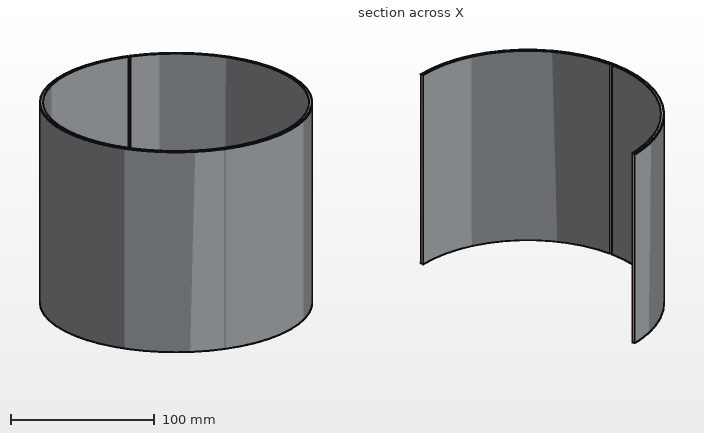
import cadquery as cq
import math

outer_diameter = 190.0
wall_thickness = 2.5
height = 150.0
outer_rim_chamfer = 0.5
inner_rim_chamfer = 0.2

slit_angle = 1.0
slit_overshoot = 5.0

outer_radius = outer_diameter / 2
inner_radius = outer_radius - wall_thickness


def chamfer_rims(body, radius, size):
    """Chamfer the top and bottom circular edges of the given radius."""
    rims = body.edges("%CIRCLE").filter(lambda edge: math.isclose(edge.radius(), radius))
    return rims.chamfer(size)


def sleeve():
    """Thin-walled tube standing on the XY plane, with both rims chamfered."""
    tube = cq.Workplane("XY").circle(outer_radius).circle(inner_radius).extrude(height)
    tube = chamfer_rims(tube, outer_radius, outer_rim_chamfer)
    return chamfer_rims(tube, inner_radius, inner_rim_chamfer)


def slit_wedge():
    """Full-height wedge from the axis to beyond the wall, spanning the slit angle."""
    reach = outer_radius + slit_overshoot
    rise = reach * math.tan(math.radians(slit_angle))
    outline = cq.Workplane("XY").polyline([(0, 0), (-reach, 0), (-reach, rise)]).close()
    return outline.extrude(height)


result = sleeve().cut(slit_wedge())